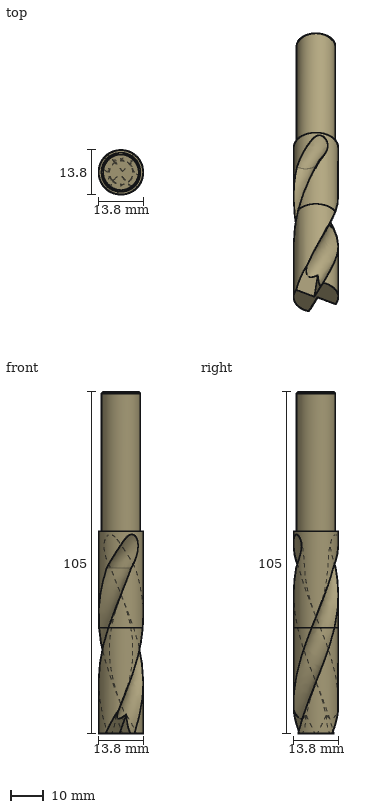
import cadquery as cq
import math

total_height = 105.0
collar_top = 62.3
joint_height = 32.5
flute_full_top = 50.9
flute_end = 61.2

body_diameter = 13.8
body_radius = body_diameter / 2
shank_radius = 6.0
shank_chamfer = 0.5

flute_count = 2
flute_lead = 107.5
flute_radius = 4.4
flute_offset = 8.0
flute_start_angle = -86.5
runout_turn = 35.0
runout_sections = 6

gash_root = (-0.4, -0.3)
gash_rake_end = (-9.0, -9.7)
gash_wall_end = (2.8, -4.1)
gash_outer_y = -9.7
gash_direction = (2.2, -3.0, 6.3)
gash_length_factor = 1.5
overlap = 1.0


def turn_at(height):
    """Helix rotation in degrees at a given height."""
    return 360 * height / flute_lead


def flute_circle(height, offset, turn):
    """Horizontal flute section whose start point lies on the radial line."""
    angle = math.radians(flute_start_angle + turn)
    radial = cq.Vector(math.cos(angle), math.sin(angle), 0)
    centre = radial * offset + cq.Vector(0, 0, height)
    return cq.Workplane(cq.Plane(centre, radial, (0, 0, 1))).circle(flute_radius).val()


def make_flute():
    """Full-depth flute, from below the tip to the start of the runout."""
    length = flute_full_top + overlap
    profile = cq.Wire.makeCircle(flute_radius, cq.Vector(flute_offset, 0, 0), cq.Vector(0, 0, 1))
    twist = cq.Solid.extrudeLinearWithRotation(
        profile, [], cq.Vector(0, 0, 0), cq.Vector(0, 0, length), turn_at(length)
    )
    start_angle = flute_start_angle - turn_at(overlap)
    return twist.rotate(cq.Vector(0, 0, 0), cq.Vector(0, 0, 1), start_angle).translate(
        cq.Vector(0, 0, -overlap)
    )


def make_runout():
    """Flute end that keeps turning while it curves outward to the collar surface."""
    clear_offset = body_radius + flute_radius
    wires = []
    for i in range(runout_sections + 1):
        fraction = i / runout_sections
        height = flute_full_top + fraction * (flute_end - flute_full_top)
        offset = flute_offset + fraction ** 2 * (clear_offset - flute_offset)
        turn = turn_at(flute_full_top) + runout_turn * math.sin(fraction * math.pi / 2)
        wires.append(flute_circle(height, offset, turn))
    return cq.Solid.makeLoft(wires)


def make_gash():
    """V-shaped cutter swept along the slanting root line of the gash."""
    outline = [
        gash_root,
        gash_wall_end,
        (gash_wall_end[0], gash_outer_y),
        gash_rake_end,
    ]
    points = [cq.Vector(x, y, 0) for x, y in outline]
    wire = cq.Wire.makePolygon(points, close=True)
    return cq.Solid.extrudeLinear(wire, [], cq.Vector(*gash_direction) * gash_length_factor)


def cut_repeated(body, cutter):
    """Cut the same shape once per flute, evenly spaced about the axis."""
    for i in range(flute_count):
        angle = i * 360 / flute_count
        copy = cutter.rotate(cq.Vector(0, 0, 0), cq.Vector(0, 0, 1), angle)
        body = body.cut(cq.Workplane(copy))
    return body


def make_cutting_head():
    head = cq.Workplane("XY").circle(body_radius).extrude(joint_height)
    head = cut_repeated(head, make_flute())
    return cut_repeated(head, make_gash())


def make_shank():
    collar = (
        cq.Workplane("XY")
        .workplane(offset=joint_height)
        .circle(body_radius)
        .extrude(collar_top - joint_height)
    )
    collar = cut_repeated(collar, make_flute())
    collar = cut_repeated(collar, make_runout())
    grip = (
        cq.Workplane("XY")
        .workplane(offset=collar_top)
        .circle(shank_radius)
        .extrude(total_height - collar_top)
        .faces(">Z")
        .chamfer(shank_chamfer)
    )
    return collar.union(grip)


cutting_head = make_cutting_head()
shank = make_shank()
result = cq.Compound.makeCompound([cutting_head.val(), shank.val()])